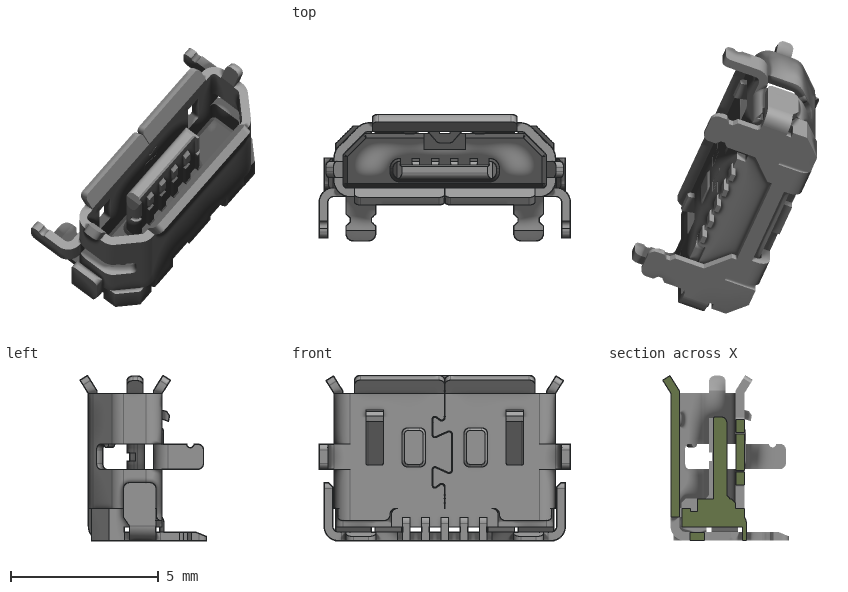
import cadquery as cq
import math


sheet = 0.30
half_width = 3.745
half_depth = 1.25
bevel_size = 0.965
corner_radius = 0.55
inner_corner_radius = 0.15
shell_top = 4.987
front_bottom = 0.69
raised_bottom = 1.10
side_edge_y = -1.06
side_edge_x = 3.40
side_edge_radius = 0.15
arch_half_width = 1.85
arch_radius = 0.20
inner_front = half_depth - sheet
cut = 1.0
tolerance = 1e-3

flare_angle = 32
flare_length = 0.53
side_flare_length = 0.51
flare_corner = 0.20
front_flare_half_width = 3.055
back_flare_half_width = 2.445
side_flare_width = 0.55
side_flare_corner = 0.20
side_flare_y = -0.333

seam_gap = 0.03
seam_radius = 0.09
seam_mid_z = 3.0
seam_left = -0.41
seam_right = 0.25
seam_end_rise = 1.00
seam_hook_rise = 1.30
seam_inner_rise = 0.44
seam_outer_rise = 0.735

spring_slot_x = 2.372
spring_slot_width = 0.595
spring_slot_bottom = 2.56
spring_slot_top = 4.38
spring_slot_radius = 0.08
spring_reach = 0.25
spring_root_z = 4.42
spring_tip_z = 4.04
spring_tip_thickness = 0.15
pad_x = 1.047
pad_width = 0.80
pad_height = 1.32
pad_z = 3.16
pad_rise = 0.05
pad_radius = 0.20
pad_slope = 0.09

dimple_x = 1.18
dimple_z = 4.10
dimple_radius = 0.31
dimple_flat_radius = 0.13
dimple_rise = 0.08

window_bottom = 2.42
window_top = 3.276
window_radius = 0.20
arm_root_x = half_width - corner_radius
arm_half_span = 4.25
arm_bend_radius = 0.50
arm_tip_y = -2.65
arm_tip_radius = 0.20
arm_notch_from_tip = 0.45
arm_notch_radius = 0.12
window_edge_x = 3.054
window_edge_y = 0.96

ear_half_span = 4.08
ear_back = 0.06
ear_front = -1.04
ear_top = 1.97
ear_corner = 0.20
ear_chamfer = 0.15
ear_stem_back = -0.14
ear_waist_z = 0.51
ear_shoulder_z = 0.80
ear_bend_radius = 0.50
plate_back = 0.03
plate_inner_x = 1.60
plate_slant_x = 2.33
plate_slant_y = -0.80
plate_outer_x = 3.50
bridge_front = 0.10
bridge_back = 0.60
leg_x = 2.835
leg_width = 1.01
leg_tip_y = -2.75
leg_corner = 0.25
leg_root_radius = 0.15
leg_notch_y = -2.04
leg_notch_depth = 0.14
leg_notch_half_length = 0.20
leg_taper_start = -2.39
leg_tip_thickness = 0.15
strap_inner_x = 1.45
strap_outer_x = 2.36
strap_bend_radius = 0.50

housing_bottom = 0.466
housing_floor = 1.43
floor_chamfer = 0.15
back_gap = 0.065
flange_half_width = 3.685
flange_back = 1.144
flange_bevel = 0.60
nose_half_width = 1.80
foot_inner_x = 2.48
foot_front = 0.03
pocket_half_width = 0.707
pocket_front = 0.35
pocket_floor = 1.00
lock_tab_root_half_width = 0.57
lock_tab_tip_half_width = 0.24
lock_tab_tip = 0.57
lock_tab_tip_radius = 0.15
lock_tab_relief_half_width = 0.17

tongue_half_length = 1.75
tongue_back = -0.056
tongue_front = -0.654
tongue_radius = 0.24
tongue_top = 4.20
tongue_tip_front_bevel = 0.20
tongue_tip_back_bevel = 0.06
tongue_end_run = 0.14
tongue_end_height = 0.60
tongue_tip_end_bevel = 0.16
pedestal_margin = 0.10
pedestal_height = 0.12
sliver = 0.002
contact_pitch = 0.65
contact_count = 5
groove_width = 0.40
groove_floor = -0.179
rib_top = 3.70
latch_bottom = 2.70
latch_top = 2.98
latch_floor = -0.153
latch_side_floor = -0.347
latch_side_x = 1.58
pin_width = 0.255
pin_front = -1.315
pin_back = -1.16
pin_top = 0.96
pin_bend_radius = 0.37


def block(x0, x1, y0, y1, z0, z1):
    """Box between opposite corners."""
    return cq.Workplane("XY").box(x1 - x0, y1 - y0, z1 - z0, centered=False).translate((x0, y0, z0))


def both_sides(solid):
    """The solid together with its mirror image across X = 0."""
    return solid.union(solid.mirror("YZ"))


def section(inset, radius, z0, z1, back_clearance=0):
    """Prism with the shell outline, pulled inward by `inset`, and its back by `back_clearance` more."""
    w = half_width - inset
    front = inset - half_depth
    back = half_depth - inset - back_clearance
    bevel = bevel_size - inset * (2 - math.sqrt(2)) - back_clearance
    outline = [(-w, front), (w, front), (w, back - bevel), (w - bevel, back),
               (bevel - w, back), (-w, back - bevel)]
    prism = cq.Workplane("XY").workplane(offset=z0).polyline(outline).close().extrude(z1 - z0)
    return prism.edges("|Z").fillet(radius)


def shell_tube():
    tube = section(0, corner_radius, front_bottom, shell_top)
    tube = tube.cut(section(sheet, inner_corner_radius, 0, shell_top + cut))
    tube = tube.cut(block(-half_width, half_width, -inner_front, half_depth, 0, raised_bottom))
    r = side_edge_radius
    bend = r * math.sqrt(0.5)
    side = (cq.Workplane("YZ").workplane(offset=side_edge_x).moveTo(side_edge_y - r, front_bottom)
            .threePointArc((side_edge_y - r + bend, front_bottom + r - bend), (side_edge_y, front_bottom + r))
            .lineTo(side_edge_y, raised_bottom).lineTo(half_depth, raised_bottom)
            .lineTo(half_depth, front_bottom).close().extrude(half_width))
    tube = tube.cut(both_sides(side))
    arch = block(-arch_half_width, arch_half_width, -half_depth - cut, 0, 0, raised_bottom)
    tube = tube.cut(arch.edges("|Y and >Z").fillet(arch_radius))
    feet = [e for e in tube.edges("|Y and <Z").vals() if abs(e.Center().x) < arch_half_width + tolerance]
    return tube.newObject(feet).fillet(arch_radius)


def flare(width, length, corner):
    """Flare leaning toward +Y, centred on X = 0, with its bend line on the outer face at the origin."""
    angle = math.radians(flare_angle)
    along = (length * math.sin(angle), length * math.cos(angle))
    across = (-sheet * math.cos(angle), sheet * math.sin(angle))
    inner_bend = (-sheet, sheet * math.tan(angle / 2))
    tip = (along[0] + across[0], along[1] + across[1])
    outline = [(0, 0), along, tip, inner_bend, (-sheet, 0)]
    blank = cq.Workplane("YZ").polyline(outline).close().extrude(width / 2, both=True)
    tip_y = (along[0] + tip[0]) / 2
    tip_z = (along[1] + tip[1]) / 2
    corners = [e for e in blank.edges("not |X").vals()
               if abs(e.Center().y - tip_y) < tolerance and abs(e.Center().z - tip_z) < tolerance]
    return blank.newObject(corners).fillet(corner)


def mouth_flares():
    back = flare(2 * back_flare_half_width, flare_length, flare_corner)
    flares = back.translate((0, half_depth, shell_top))
    front = flare(front_flare_half_width, flare_length, flare_corner).rotate((0, 0, 0), (0, 0, 1), 180)
    front = front.translate((front_flare_half_width / 2, -half_depth, shell_top))
    side = flare(side_flare_width, side_flare_length, side_flare_corner).rotate((0, 0, 0), (0, 0, 1), -90)
    side = side.translate((half_width, side_flare_y, shell_top))
    return flares.union(both_sides(front)).union(both_sides(side))


def seam_slit():
    """Narrow slit through the front wall and flare, following the dovetail of the seam."""
    upper = [(0, seam_end_rise), (seam_left, seam_hook_rise), (seam_left, seam_inner_rise),
             (seam_right, seam_outer_rise)]
    shift = -seam_gap / 2
    corners = [(x + shift, seam_mid_z + rise) for x, rise in upper]
    corners += [(x + shift, seam_mid_z - rise) for x, rise in reversed(upper)]
    start = (shift, shell_top + cut)
    end = (shift, front_bottom)
    far = -half_width
    outline = [start] + corners + [end, (far, front_bottom), (far, start[1])]
    left_wall = cq.Workplane("XZ").workplane(offset=inner_front - sheet / 2).polyline(outline).close()
    left_wall = left_wall.extrude(2 * sheet + cut)
    bends = [e for e in left_wall.edges("|Y").vals()
             if e.Center().x > far / 2 and raised_bottom < e.Center().z < shell_top]
    left_wall = left_wall.newObject(bends).fillet(seam_radius)
    grown = left_wall.faces(">Y").wires().toPending().offset2D(seam_gap).extrude(2 * sheet + cut)
    limits = block(far / 2, -far / 2, -half_width, 0, raised_bottom, shell_top + cut)
    return grown.cut(left_wall).intersect(limits)


def spring_slot():
    half = spring_slot_width / 2
    slot = block(spring_slot_x - half, spring_slot_x + half, -half_depth - cut, -inner_front + sheet / 2,
                 spring_slot_bottom, spring_slot_top)
    return both_sides(slot.edges("|Y and <Z").fillet(spring_slot_radius))


def spring_tips():
    """Short fingers bending out of the wall at the top of the spring slots."""
    wall = -half_depth
    tip = wall - spring_reach
    knee_z = (spring_root_z + spring_tip_z) / 2
    finger = (cq.Workplane("YZ").moveTo(wall + sheet, spring_root_z).lineTo(wall, spring_root_z)
              .lineTo(wall - spring_tip_thickness, spring_root_z - spring_tip_thickness / 4)
              .lineTo(tip, knee_z).lineTo(tip + spring_tip_thickness / 4, spring_tip_z)
              .lineTo(wall, spring_tip_z + spring_tip_thickness / 2)
              .lineTo(wall + sheet, knee_z).close()
              .extrude(spring_slot_width / 2, both=True))
    return both_sides(finger.translate((spring_slot_x, 0, 0)))


def front_pads():
    slope = math.degrees(math.atan2(pad_slope, pad_rise))
    pad = cq.Workplane("XZ").workplane(offset=half_depth).center(pad_x, pad_z)
    pad = pad.sketch().rect(pad_width, pad_height).vertices().fillet(pad_radius).finalize()
    return both_sides(pad.extrude(pad_rise, taper=slope))


def back_dimples():
    slope_run = dimple_radius - dimple_flat_radius
    slope = math.degrees(math.atan2(slope_run, dimple_rise))
    dimple = cq.Workplane("XZ").workplane(offset=-inner_front).center(dimple_x, dimple_z)
    return both_sides(dimple.circle(dimple_radius).extrude(dimple_rise, taper=slope))


def side_window():
    """Opening from the front bend round the side wall and into the bevel wall."""
    reach = cut
    run = window_edge_x - window_edge_y
    inside = window_edge_x - reach / 2
    outside = window_edge_x + 2 * reach
    outline = [(inside, inside - run), (arm_root_x, -inner_front / 2), (arm_root_x, -half_depth - reach),
               (outside, -half_depth - reach), (outside, outside - run)]
    opening = cq.Workplane("XY").workplane(offset=window_bottom).polyline(outline).close()
    opening = opening.extrude(window_top - window_bottom)
    opening = opening.faces(cq.selectors.DirectionMinMaxSelector(cq.Vector(-1, 1, 0))).edges("not |Z")
    opening = opening.edges("<Z or >Z").fillet(window_radius)
    step = arm_notch_from_tip / math.sqrt(2)
    diagonal = cq.Plane(origin=(window_edge_x + step, window_edge_y - step, window_top),
                        xDir=(1, -1, 0), normal=(-1, -1, 0))
    nub = cq.Workplane(diagonal).circle(arm_notch_radius).extrude(sheet)
    return both_sides(opening.cut(nub))


def board_arms():
    tip_x = arm_half_span
    inner_radius = arm_bend_radius - sheet
    outer_mid = arm_bend_radius * (1 - math.sqrt(0.5))
    bend_end = -inner_front - arm_bend_radius
    inner_x = tip_x - sheet
    inner_mid = inner_radius * (1 - math.sqrt(0.5))
    arm = (cq.Workplane("XY").workplane(offset=window_bottom).moveTo(arm_root_x, -inner_front)
           .lineTo(tip_x - arm_bend_radius, -inner_front)
           .threePointArc((tip_x - outer_mid, -inner_front - outer_mid), (tip_x, bend_end))
           .lineTo(tip_x, arm_tip_y).lineTo(inner_x, arm_tip_y).lineTo(inner_x, bend_end)
           .threePointArc((inner_x - inner_mid, -half_depth - inner_mid),
                          (inner_x - inner_radius, -half_depth))
           .lineTo(arm_root_x, -half_depth).close().extrude(window_top - window_bottom))
    arm = arm.faces("<Y").edges("|X").fillet(arm_tip_radius)
    notch = cq.Workplane("YZ").center(arm_tip_y + arm_notch_from_tip, window_top)
    notch = notch.circle(arm_notch_radius).extrude(tip_x + cut)
    return both_sides(arm.cut(notch))


def ear():
    inner_radius = ear_bend_radius - sheet
    length = ear_back - ear_front
    inner_x = ear_half_span - sheet
    strip = (cq.Workplane("XZ").workplane(offset=-ear_back).moveTo(plate_outer_x - sheet, 0)
             .lineTo(ear_half_span, 0).lineTo(ear_half_span, ear_top).lineTo(inner_x, ear_top)
             .lineTo(inner_x, sheet).lineTo(plate_outer_x - sheet, sheet).close().extrude(length))
    strip = strip.edges("|Y and >X and <Z").fillet(ear_bend_radius)
    inner_bend = cq.selectors.NearestToPointSelector((inner_x, (ear_back + ear_front) / 2, sheet))
    strip = strip.edges("|Y").edges(inner_bend).fillet(inner_radius)
    strip = strip.edges("|X and >Z").fillet(ear_corner)
    strip = strip.cut(cq.Workplane("YZ").moveTo(ear_stem_back, 0).lineTo(ear_stem_back, ear_waist_z)
                      .lineTo(ear_back, ear_shoulder_z).lineTo(ear_back + cut, ear_shoulder_z)
                      .lineTo(ear_back + cut, 0).close().extrude(ear_half_span + cut))
    bevel = (cq.Workplane("XZ").workplane(offset=-ear_back - cut).moveTo(inner_x, ear_top)
             .lineTo(inner_x + ear_chamfer, ear_top).lineTo(inner_x, ear_top - ear_chamfer).close()
             .extrude(length + 2 * cut))
    return strip.cut(bevel)


def leg():
    """Solder leg with a pair of waist notches and a tapered, rounded tip."""
    half = leg_width / 2
    bar = block(leg_x - half, leg_x + half, leg_tip_y, plate_back, 0, sheet)
    bar = bar.edges("|Z and <Y").fillet(leg_corner)
    for side in (-1, 1):
        edge = leg_x + side * half
        waist = (cq.Workplane("XY").moveTo(edge, leg_notch_y - leg_notch_half_length)
                 .lineTo(edge - side * leg_notch_depth, leg_notch_y - leg_notch_depth / 2)
                 .lineTo(edge - side * leg_notch_depth, leg_notch_y + leg_notch_depth / 2)
                 .lineTo(edge, leg_notch_y + leg_notch_half_length).close().extrude(sheet))
        bar = bar.cut(waist)
    taper = (cq.Workplane("YZ").moveTo(leg_taper_start, sheet).lineTo(leg_tip_y, leg_tip_thickness)
             .lineTo(leg_tip_y, sheet).close().extrude(leg_x + leg_width))
    return bar.cut(taper)


def strap():
    """Strip from the lower edge of the back wall, bent forward into the foot plate."""
    strip = (cq.Workplane("YZ").workplane(offset=strap_inner_x).moveTo(bridge_front, 0).lineTo(half_depth, 0)
             .lineTo(half_depth, raised_bottom).lineTo(inner_front, raised_bottom)
             .lineTo(inner_front, sheet).lineTo(bridge_front, sheet).close()
             .extrude(strap_outer_x - strap_inner_x))
    strip = strip.edges("|X and >Y and <Z").fillet(strap_bend_radius)
    middle_x = (strap_inner_x + strap_outer_x) / 2
    inner_bend = cq.selectors.NearestToPointSelector((middle_x, inner_front, sheet))
    return strip.edges("|X").edges(inner_bend).fillet(strap_bend_radius - sheet)


def foot_plate():
    slant_end_y = plate_slant_y + plate_slant_x - plate_inner_x
    plate = (cq.Workplane("XY").moveTo(plate_outer_x, plate_back).lineTo(plate_outer_x, ear_front)
             .lineTo(plate_slant_x, ear_front).lineTo(plate_slant_x, plate_slant_y)
             .lineTo(plate_inner_x, slant_end_y).lineTo(plate_inner_x, plate_back).close().extrude(sheet))
    link = block(0, strap_outer_x, bridge_front, bridge_back, 0, sheet)
    step = block(plate_inner_x, strap_outer_x, plate_back, bridge_back, 0, sheet)
    half = plate.union(step).union(link).union(strap()).union(leg()).union(ear())
    leg_root = cq.selectors.NearestToPointSelector((leg_x + leg_width / 2, ear_front, sheet / 2))
    half = half.edges("|Z").edges(leg_root).fillet(leg_root_radius)
    return both_sides(half)


def housing():
    """Insulator filling the lower end of the shell, with a flange, a front nose and two rear feet."""
    core = section(sheet, inner_corner_radius, housing_bottom, housing_floor, back_gap)
    core = core.faces(">Z").edges().chamfer(floor_chamfer)

    flange = block(-flange_half_width, flange_half_width, -inner_front, foot_front,
                   housing_bottom, raised_bottom)
    flange = flange.edges("|Z and <Y").fillet(corner_radius - sheet)
    nose = block(-nose_half_width, nose_half_width, -half_depth, 0, housing_bottom, raised_bottom)
    nose = nose.edges("|Y and >Z").fillet(arch_radius)

    bevel_x = flange_half_width - flange_bevel
    bevel_y = flange_back - flange_bevel
    foot = (cq.Workplane("XY").moveTo(foot_inner_x, foot_front).lineTo(flange_half_width, foot_front)
            .lineTo(flange_half_width, bevel_y).lineTo(bevel_x, flange_back)
            .lineTo(foot_inner_x, flange_back).close().extrude(raised_bottom))

    pocket = block(-pocket_half_width, pocket_half_width, pocket_front, half_depth,
                   pocket_floor, housing_floor)
    return core.union(flange).union(nose).union(both_sides(foot)).cut(pocket)


def lock_tab():
    """Tab folded in from the back wall over the pocket in the housing."""
    outline = [(-lock_tab_root_half_width, half_depth), (lock_tab_root_half_width, half_depth),
               (lock_tab_root_half_width, inner_front), (lock_tab_tip_half_width, lock_tab_tip),
               (-lock_tab_tip_half_width, lock_tab_tip), (-lock_tab_root_half_width, inner_front)]
    tab = cq.Workplane("XY").workplane(offset=raised_bottom).polyline(outline).close().extrude(-sheet)
    tab = tab.edges("|Z and <Y").fillet(lock_tab_tip_radius)
    relief = block(-lock_tab_relief_half_width, lock_tab_relief_half_width,
                   inner_front - back_gap, inner_front, 0, raised_bottom)
    return tab.cut(relief)


def tongue_plan(margin, height):
    """Rounded plan shape of the tongue, grown by `margin`, standing on the housing floor."""
    prism = block(-tongue_half_length - margin, tongue_half_length + margin,
                  tongue_front - margin, tongue_back + margin, housing_floor, housing_floor + height)
    return prism.edges("|Z").fillet(tongue_radius + margin)


def contact_positions():
    """X of each contact, evenly spread about the middle."""
    return [(index - (contact_count - 1) / 2) * contact_pitch for index in range(contact_count)]


def tongue():
    body = tongue_plan(0, tongue_top - housing_floor)
    end_z = tongue_top - tongue_end_height
    shoulder_x = tongue_half_length - tongue_end_run
    shoulder_z = tongue_top - tongue_tip_end_bevel
    end_cut = (cq.Workplane("XZ").moveTo(tongue_half_length, end_z).lineTo(shoulder_x, shoulder_z)
               .lineTo(shoulder_x - tongue_tip_end_bevel, tongue_top).lineTo(tongue_half_length, tongue_top)
               .close().extrude(half_depth, both=True))
    pedestal = tongue_plan(pedestal_margin, pedestal_height)
    pedestal = pedestal.faces(">Z").edges().chamfer(pedestal_height - sliver, pedestal_margin - sliver)
    body = body.cut(both_sides(end_cut)).union(pedestal)

    rib_cut_half = max(contact_positions()) + groove_width / 2
    back = tongue_back + pedestal_margin
    rib_rise = back - groove_floor
    above_ribs = (cq.Workplane("YZ").moveTo(back, rib_top - rib_rise).lineTo(groove_floor, rib_top)
                  .lineTo(groove_floor, tongue_top).lineTo(back, tongue_top).close()
                  .extrude(rib_cut_half, both=True))
    body = body.cut(above_ribs)
    for x in contact_positions():
        body = body.cut(block(x - groove_width / 2, x + groove_width / 2, groove_floor, back,
                              housing_floor, tongue_top))
    body = body.cut(block(-half_width, half_width, latch_floor, back, latch_bottom, latch_top))
    side = block(latch_side_x, half_width, latch_side_floor, back, latch_bottom, latch_top)
    body = body.cut(both_sides(side))

    front_bevel = (cq.Workplane("YZ").moveTo(tongue_front, tongue_top - tongue_tip_front_bevel)
                   .radiusArc((tongue_front + tongue_tip_front_bevel, tongue_top), tongue_tip_front_bevel)
                   .lineTo(tongue_front, tongue_top).close().extrude(half_width, both=True))
    back_bevel = (cq.Workplane("YZ").moveTo(groove_floor, tongue_top - tongue_tip_back_bevel)
                  .lineTo(groove_floor - tongue_tip_back_bevel, tongue_top).lineTo(groove_floor, tongue_top)
                  .close().extrude(half_width, both=True))
    return body.cut(front_bevel).cut(back_bevel)


def contact_pins():
    pins = cq.Workplane("XY")
    for x in contact_positions():
        tail = block(x - pin_width / 2, x + pin_width / 2, pin_front, pin_back, 0, pin_top)
        root = block(x - pin_width / 2, x + pin_width / 2, pin_front, 0, pin_top - pin_bend_radius, pin_top)
        pin = tail.union(root).edges("|X and <Y and >Z").fillet(pin_bend_radius)
        pins = pins.union(pin)
    return pins


shell = shell_tube().union(mouth_flares())
shell = shell.cut(side_window()).cut(spring_slot()).cut(seam_slit())
shell = shell.union(board_arms()).union(spring_tips()).union(front_pads()).union(back_dimples())
shell = shell.union(lock_tab()).union(foot_plate())
insert = housing().union(tongue()).union(contact_pins())
result = shell.union(insert)